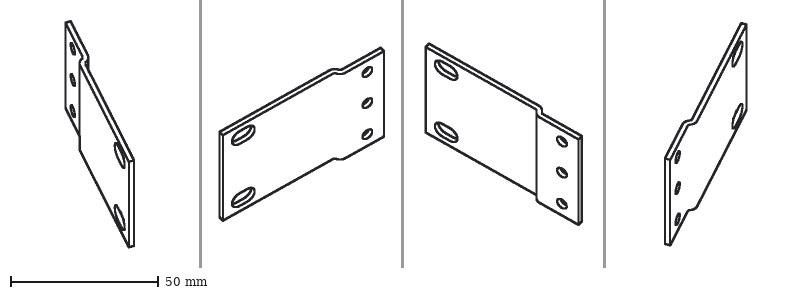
import cadquery as cq
import math

length = 66.7
depth = 4.15
height = 43.7
thickness = 1.95

bend_start = 16.5
inner_radius = 1.0
outer_radius = inner_radius + thickness
offset = depth - thickness
bend_angle = math.acos(1 - offset / (inner_radius + outer_radius))

row_pitch = 15.9
hole_diameter = 4.1
hole_x = 7.1
slot_length = 9.55
slot_width = 6.4
slot_x = 57.95


def arc_point(center, radius, angle):
    """Point on a bend arc, with the angle measured from +Y towards +X."""
    return (center[0] + radius * math.sin(angle), center[1] + radius * math.cos(angle))


def make_sheet():
    """Extrude the joggled cross-section along Z."""
    bend_end = bend_start + (inner_radius + outer_radius) * math.sin(bend_angle)
    first_center = (bend_start, depth - outer_radius)
    second_center = (bend_end, outer_radius)
    half_angle = bend_angle / 2

    profile = (
        cq.Workplane("XY", origin=(0, 0, -height / 2))
        .moveTo(0, depth)
        .lineTo(bend_start, depth)
        .threePointArc(
            arc_point(first_center, outer_radius, half_angle),
            arc_point(first_center, outer_radius, bend_angle),
        )
        .threePointArc(
            arc_point(second_center, -inner_radius, half_angle),
            (bend_end, thickness),
        )
        .lineTo(length, thickness)
        .lineTo(length, 0)
        .lineTo(bend_end, 0)
        .threePointArc(
            arc_point(second_center, -outer_radius, half_angle),
            arc_point(second_center, -outer_radius, bend_angle),
        )
        .threePointArc(
            arc_point(first_center, inner_radius, half_angle),
            (bend_start, offset),
        )
        .lineTo(0, offset)
        .close()
    )
    return profile.extrude(height)


def make_openings():
    """Cutters for the three round holes and the two slots, running along Y."""
    front = cq.Workplane("XZ")
    holes = (
        front.pushPoints([(hole_x, z) for z in (-row_pitch, 0, row_pitch)])
        .circle(hole_diameter / 2)
        .extrude(-depth)
    )
    slots = (
        front.pushPoints([(slot_x, z) for z in (-row_pitch, row_pitch)])
        .slot2D(slot_length, slot_width)
        .extrude(-depth)
    )
    return holes.add(slots).combine()


result = make_sheet().cut(make_openings())